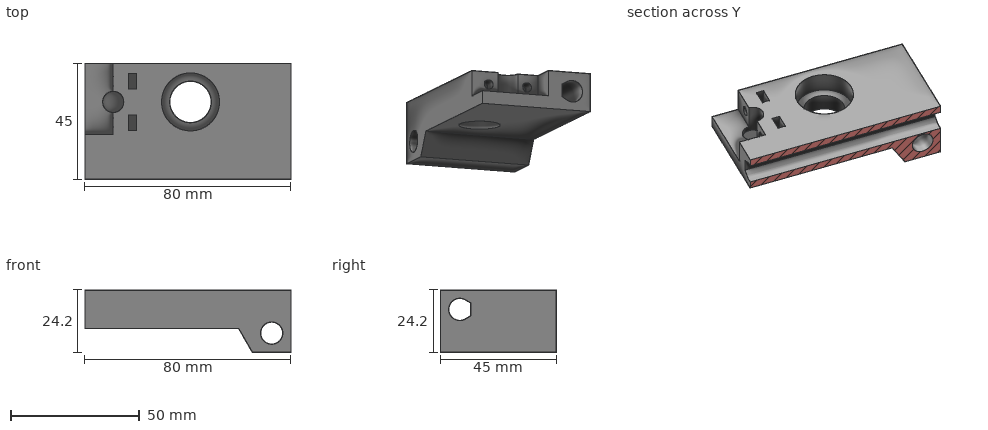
import cadquery as cq
import math


LENGTH = 80.0
WIDTH = 45.0
PLATE_THICKNESS = 15.0
FOOT_HEIGHT = 9.2
FOOT_LENGTH = 15.0
FOOT_SLOPE_FROM_VERTICAL = 30.0
TOP = PLATE_THICKNESS + FOOT_HEIGHT

ROD_DIAMETER = 8.5
ROD_EDGE_DISTANCE = 7.5
ROD_SLOPE_ANGLE = 30.0

AXIS_BACK_DISTANCE = 15.0
AXIS_Y = WIDTH - AXIS_BACK_DISTANCE

STEPPED_HOLE_X = 41.0
STEPPED_HOLE_DIAMETER = 16.0
COUNTERBORE_DIAMETER = 22.5
COUNTERBORE_DEPTH = 8.0

STEP_LENGTH = 11.0
STEP_WIDTH = 27.6
STEP_DEPTH = 10.0
POCKET_DIAMETER = 8.2
POCKET_DEPTH = 12.0

SCREW_SPACING = 16.0
SCREW_DIAMETER = 3.6
SCREW_DEPTH_BELOW_TOP = 5.0
NUT_SLOT_START_X = 17.0
NUT_SLOT_THICKNESS = 3.0
NUT_SLOT_WIDTH = 6.0
NUT_SLOT_DEPTH = SCREW_DEPTH_BELOW_TOP + NUT_SLOT_WIDTH / 2


def make_body():
    """Plate with a sloped foot under its +X end."""
    slope_run = FOOT_HEIGHT * math.tan(math.radians(FOOT_SLOPE_FROM_VERTICAL))
    foot_start = LENGTH - FOOT_LENGTH
    outline = [
        (0, TOP),
        (0, FOOT_HEIGHT),
        (foot_start - slope_run, FOOT_HEIGHT),
        (foot_start, 0),
        (LENGTH, 0),
        (LENGTH, TOP),
    ]
    return cq.Workplane("XZ").polyline(outline).close().extrude(-WIDTH)


def box_from_top(x_start, y_start, length, width, depth):
    """Rectangular cutter reaching down from the top face."""
    corner = (x_start, y_start, TOP - depth)
    return cq.Workplane("XY").box(length, width, depth, centered=False).translate(corner)


def cylinder_from_top(x, diameter, depth):
    """Round vertical cutter on the shared axis, reaching down from the top face."""
    base = cq.Workplane("XY", origin=(x, AXIS_Y, TOP - depth))
    return base.circle(diameter / 2).extrude(depth)


def stepped_hole():
    bore = cylinder_from_top(STEPPED_HOLE_X, STEPPED_HOLE_DIAMETER, PLATE_THICKNESS)
    counterbore = cylinder_from_top(STEPPED_HOLE_X, COUNTERBORE_DIAMETER, COUNTERBORE_DEPTH)
    return bore.union(counterbore)


def corner_step():
    step = box_from_top(0, WIDTH - STEP_WIDTH, STEP_LENGTH, STEP_WIDTH, STEP_DEPTH)
    return step.union(cylinder_from_top(STEP_LENGTH, POCKET_DIAMETER, POCKET_DEPTH))


def screw_with_nut_slot(y):
    """Screw hole from the step wall to the far side of its nut slot."""
    screw_length = NUT_SLOT_START_X + NUT_SLOT_THICKNESS - STEP_LENGTH
    screw_plane = cq.Workplane("YZ", origin=(STEP_LENGTH, y, TOP - SCREW_DEPTH_BELOW_TOP))
    screw = screw_plane.circle(SCREW_DIAMETER / 2).extrude(screw_length)
    slot = box_from_top(
        NUT_SLOT_START_X,
        y - NUT_SLOT_WIDTH / 2,
        NUT_SLOT_THICKNESS,
        NUT_SLOT_WIDTH,
        NUT_SLOT_DEPTH,
    )
    return screw.union(slot)


def long_rod_hole():
    """Hole along X, widened on its +Y side by a flat and two slopes that touch the circle."""
    radius = ROD_DIAMETER / 2
    slope = math.radians(ROD_SLOPE_ANGLE)
    touch_y = radius * math.sin(slope)
    touch_z = radius * math.cos(slope)
    half_flat = touch_z - (radius - touch_y) * math.tan(slope)
    widening = [
        (touch_y, touch_z),
        (radius, half_flat),
        (radius, -half_flat),
        (touch_y, -touch_z),
    ]
    plane = cq.Workplane("YZ", origin=(0, ROD_EDGE_DISTANCE, TOP - ROD_EDGE_DISTANCE))
    round_hole = plane.circle(radius).extrude(LENGTH)
    return round_hole.union(plane.polyline(widening).close().extrude(LENGTH))


def cross_rod_hole():
    """Hole along Y through the foot."""
    plane = cq.Workplane("XZ", origin=(LENGTH - ROD_EDGE_DISTANCE, 0, ROD_EDGE_DISTANCE))
    return plane.circle(ROD_DIAMETER / 2).extrude(-WIDTH)


result = make_body().cut(stepped_hole()).cut(corner_step())
for side in (-1, 1):
    result = result.cut(screw_with_nut_slot(AXIS_Y + side * SCREW_SPACING / 2))
result = result.cut(long_rod_hole()).cut(cross_rod_hole())